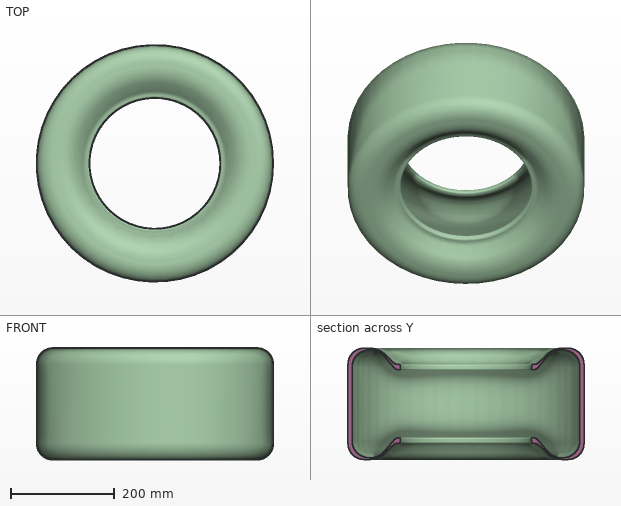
import cadquery as cq
import math

outer_radius = 457.2 / 2
half_width = 215.9 / 2
shoulder_radius = 31.75

crest_inner_radius = 186.0
sidewall_radius = 41.5
sidewall_tilt = math.radians(49)

bead_face_z = 76.8
bead_flat_outer_radius = 133.3
bead_flat_inner_radius = 130.6
bead_fillet_radius = 8.5
bead_wall_tilt = math.radians(40)
bead_outer_round = 4.1

bore_taper = math.radians(5)

bead_back_z = 65.0
bead_inner_round = 3.0

liner_radius = 438.8 / 2
liner_half_width = 73.0
liner_shoulder_radius = 29.6
liner_shoulder_angle = math.radians(53.6)
sidewall_thickness = 4.0

sidewall_center = (crest_inner_radius, half_width - sidewall_radius)

bead_round_difference = bead_inner_round - bead_outer_round
bead_back_rise = (bead_back_z + bead_inner_round) - (bead_face_z - bead_outer_round)
bead_inner_center = (
    bead_flat_inner_radius
    + (bead_back_rise * math.sin(bore_taper) + bead_round_difference) / math.cos(bore_taper),
    bead_back_z + bead_inner_round,
)


def arc_point(center, radius, angle):
    """Point on a circle in the (radius, Z) section, angle measured from the outward radial direction."""
    return (center[0] + radius * math.cos(angle), center[1] + radius * math.sin(angle))


def draw_outer_face(section):
    """Shoulder and sidewall, from the edge of the tread to the flat on the bead."""
    shoulder_center = (outer_radius - shoulder_radius, half_width - shoulder_radius)
    fillet_center = (bead_flat_outer_radius, bead_face_z + bead_fillet_radius)
    return (
        section.moveTo(*shoulder_center)
        .move(shoulder_radius, 0)
        .threePointArc(
            arc_point(shoulder_center, shoulder_radius, math.pi / 4),
            arc_point(shoulder_center, shoulder_radius, math.pi / 2),
        )
        .lineTo(crest_inner_radius, half_width)
        .threePointArc(
            arc_point(sidewall_center, sidewall_radius, math.pi / 2 + sidewall_tilt / 2),
            arc_point(sidewall_center, sidewall_radius, math.pi / 2 + sidewall_tilt),
        )
        .tangentArcPoint(
            arc_point(fillet_center, bead_fillet_radius, bead_wall_tilt - math.pi / 2),
            relative=False,
        )
        .threePointArc(
            arc_point(fillet_center, bead_fillet_radius, bead_wall_tilt / 2 - math.pi / 2),
            (bead_flat_outer_radius, bead_face_z),
        )
        .lineTo(bead_flat_inner_radius, bead_face_z)
    )


def draw_bead(section):
    """Rounded outer edge, tapered bore and rounded inner edge of the bead."""
    bore_normal = math.pi - bore_taper
    outer_center = (bead_flat_inner_radius, bead_face_z - bead_outer_round)
    return (
        section.threePointArc(
            arc_point(outer_center, bead_outer_round, (math.pi / 2 + bore_normal) / 2),
            arc_point(outer_center, bead_outer_round, bore_normal),
        )
        .lineTo(*arc_point(bead_inner_center, bead_inner_round, bore_normal))
        .threePointArc(
            arc_point(bead_inner_center, bead_inner_round, (bore_normal + 3 * math.pi / 2) / 2),
            (bead_inner_center[0], bead_back_z),
        )
    )


def draw_inner_face(section):
    """Inside of the bead, sidewall and shoulder, up to the edge of the cylindrical liner."""
    inner_radius = sidewall_radius - sidewall_thickness
    wall_end = arc_point(sidewall_center, inner_radius, math.pi / 2 + sidewall_tilt)
    crest = (crest_inner_radius, sidewall_center[1] + inner_radius)

    hump_start = (bead_inner_center[0], bead_back_z)
    hump_radius = (
        (wall_end[0] - hump_start[0]) * math.sin(sidewall_tilt)
        - (wall_end[1] - hump_start[1]) * math.cos(sidewall_tilt)
    ) / (1 - math.cos(sidewall_tilt))
    hump_center = (hump_start[0], hump_start[1] + hump_radius)

    liner_center = (liner_radius - liner_shoulder_radius, liner_half_width)
    return (
        section.threePointArc(
            arc_point(hump_center, hump_radius, sidewall_tilt / 2 - math.pi / 2),
            arc_point(hump_center, hump_radius, sidewall_tilt - math.pi / 2),
        )
        .lineTo(*wall_end)
        .threePointArc(
            arc_point(sidewall_center, inner_radius, math.pi / 2 + sidewall_tilt / 2),
            crest,
        )
        .tangentArcPoint(
            arc_point(liner_center, liner_shoulder_radius, liner_shoulder_angle),
            relative=False,
        )
        .threePointArc(
            arc_point(liner_center, liner_shoulder_radius, liner_shoulder_angle / 2),
            (liner_radius, liner_half_width),
        )
    )


section = draw_outer_face(cq.Workplane("XZ"))
section = draw_bead(section)
section = draw_inner_face(section)
upper_outline = section.wire().val()

lower_outline = upper_outline.mirror("XY")
tread_line = cq.Edge.makeLine(lower_outline.startPoint(), upper_outline.startPoint())
liner_line = cq.Edge.makeLine(upper_outline.endPoint(), lower_outline.endPoint())
outline = cq.Wire.assembleEdges(
    [tread_line, *upper_outline.Edges(), liner_line, *reversed(lower_outline.Edges())]
)
tyre = cq.Solid.revolve(outline, [], 360, cq.Vector(0, 0, 0), cq.Vector(0, 0, 1))
result = cq.Workplane("XY").newObject([tyre])